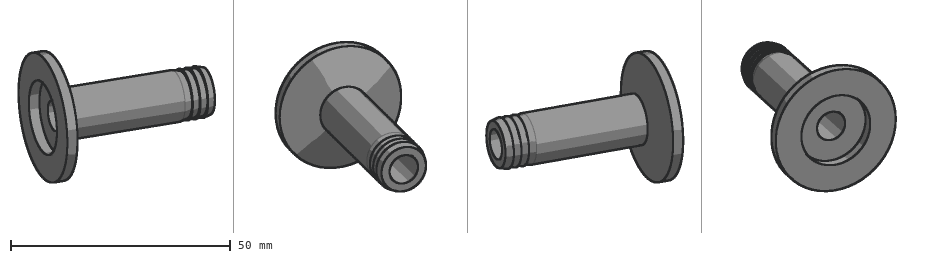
import cadquery as cq
import math

total_length = 40.0
flange_diameter = 30.0
tube_diameter = 12.0
bore_diameter = 7.0

rim_thickness = 2.5
back_angle = 15.0
recess_diameter = 17.2
recess_depth = 2.6

barb_count = 4
barb_pitch = 1.9
barb_tip_diameter = 11.0

flange_radius = flange_diameter / 2
tube_radius = tube_diameter / 2
barb_tip_radius = barb_tip_diameter / 2
cone_height = (flange_radius - tube_radius) * math.tan(math.radians(back_angle))
barbs_start = total_length - barb_count * barb_pitch


def make_body():
    """Revolve the outer profile: flange rim, conical back, tube and barbs."""
    profile = (
        cq.Workplane("XY")
        .lineTo(flange_radius, 0)
        .lineTo(flange_radius, rim_thickness)
        .lineTo(tube_radius, rim_thickness + cone_height)
    )
    for index in range(barb_count):
        base = barbs_start + index * barb_pitch
        profile = profile.lineTo(tube_radius, base)
        profile = profile.lineTo(barb_tip_radius, base + barb_pitch)
    profile = profile.lineTo(0, total_length).close()
    return profile.revolve(360, (0, 0, 0), (0, 1, 0))


def make_axial_cut(diameter, depth):
    """Cylinder reaching from the flange face into the part along +Y."""
    return cq.Workplane("XZ").circle(diameter / 2).extrude(-depth)


bore = make_axial_cut(bore_diameter, total_length)
recess = make_axial_cut(recess_diameter, recess_depth)
result = make_body().cut(bore).cut(recess)